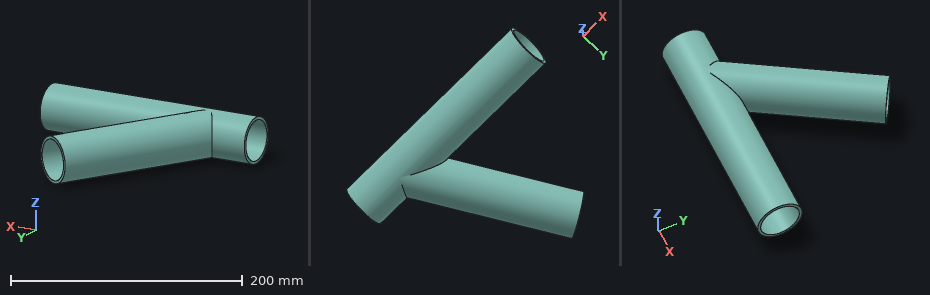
import cadquery as cq
import math

OUTER_DIAMETER = 42.16
INNER_DIAMETER = 36.63

RUN_LENGTH = 203.2

BRANCH_ANGLE = 60.0
BRANCH_LENGTH = 158.75
BRANCH_OFFSET = 44.45


def rod(diameter, length, start, direction):
    """Solid cylinder from a start point along a direction."""
    return cq.Workplane(obj=cq.Solid.makeCylinder(diameter / 2, length, start, direction))


def run_rod(diameter):
    """Cylinder on the run axis, with the crossing of the axes at the origin."""
    return rod(diameter, RUN_LENGTH, cq.Vector(-BRANCH_OFFSET, 0, 0), cq.Vector(1, 0, 0))


def branch_rod(diameter):
    """Cylinder on the branch axis, from the crossing of the axes to the open end."""
    angle = math.radians(BRANCH_ANGLE)
    direction = cq.Vector(math.cos(angle), math.sin(angle), 0)
    return rod(diameter, BRANCH_LENGTH, cq.Vector(0, 0, 0), direction)


outer_body = run_rod(OUTER_DIAMETER).union(branch_rod(OUTER_DIAMETER))
result = outer_body.cut(run_rod(INNER_DIAMETER)).cut(branch_rod(INNER_DIAMETER))